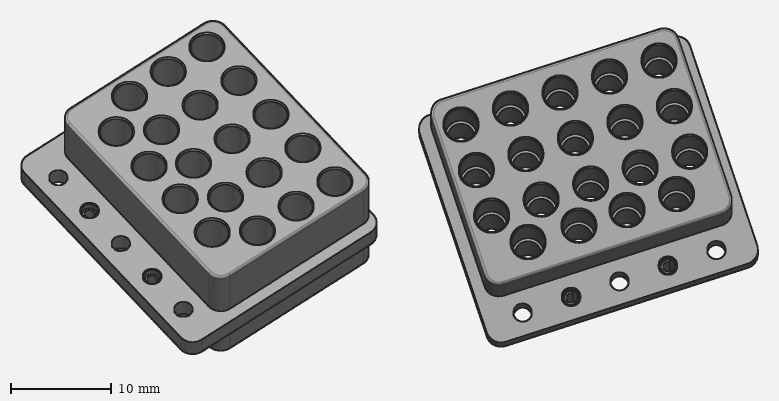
import cadquery as cq

PLATE_LENGTH = 28.45
PLATE_WIDTH = 24.38
PLATE_BOTTOM = 4.75
PLATE_THICKNESS = 2.1
PLATE_TOP = PLATE_BOTTOM + PLATE_THICKNESS

BLOCK_LENGTH = 25.95
BLOCK_WIDTH = 19.85
BLOCK_HEIGHT = 12.75
BLOCK_TOP_FILLET = 0.25

CORNER_RADIUS = 1.5

SOCKET_DIAMETER = 3.25
SOCKET_RIM_DIAMETER = 3.55
SOCKET_BORE_DIAMETER = 2.62
SOCKET_FLOOR = PLATE_TOP
COLUMN_PITCH = 5.2
ROW_PITCH = 4.9
FIRST_ROW_Y = -3.1
FULL_ROWS = 3
FULL_COLUMNS = 5
LAST_ROW_Y = -16.6
LAST_ROW_COLUMNS = 4
SHIFTED_COLUMN = 1
COLUMN_SHIFT = 0.15

HOLE_LINE_Y = -22.08
HOLE_PITCH = 5.1
PLAIN_HOLE_DIAMETER = 1.85
PLAIN_HOLE_XS = [-2 * HOLE_PITCH, 0, 2 * HOLE_PITCH]
PIN_XS = [-HOLE_PITCH, HOLE_PITCH]

PIN_DIAMETER = 1.7
PIN_BORE_DIAMETER = 0.97
PIN_SLOT_WIDTH = 0.65
PIN_BOTTOM = 1.5
PIN_TOP_RECESS = 0.57
PIN_LENGTH = PLATE_TOP - PIN_TOP_RECESS - PIN_BOTTOM
PIN_TAPER_HEIGHT = 0.45
PIN_TAPER_INSET = 0.15
PIN_HOLE_RIM_DIAMETER = 1.9


def rounded_slab(length, width, bottom, height):
    """Slab with rounded upright corners, reaching forward from the back face."""
    return (
        cq.Workplane("XY", origin=(0, -width / 2, bottom))
        .rect(length, width)
        .extrude(height)
        .edges("|Z")
        .fillet(CORNER_RADIUS)
    )


def centred_positions(count, pitch):
    """Evenly spaced positions, centred on zero."""
    return [(i - (count - 1) / 2) * pitch for i in range(count)]


def socket_centres():
    """Three full rows and a shorter front row with one socket off its even spacing."""
    centres = [
        (x, FIRST_ROW_Y - row * ROW_PITCH)
        for row in range(FULL_ROWS)
        for x in centred_positions(FULL_COLUMNS, COLUMN_PITCH)
    ]
    last_row = centred_positions(LAST_ROW_COLUMNS, COLUMN_PITCH)
    last_row[SHIFTED_COLUMN] += COLUMN_SHIFT
    return centres + [(x, LAST_ROW_Y) for x in last_row]


def round_cutter(centres, diameter, bottom, top):
    """Upright cylinders at the given centres."""
    return (
        cq.Workplane("XY", origin=(0, 0, bottom))
        .pushPoints(centres)
        .circle(diameter / 2)
        .extrude(top - bottom)
    )


def rim_cutter(centres, diameter, rim_diameter, top):
    """45 degree cones that chamfer the mouths of holes opening at the given height."""
    depth = (rim_diameter - diameter) / 2
    cone = cq.Solid.makeCone(diameter / 2, rim_diameter / 2, depth)
    return cq.Workplane("XY").pushPoints(centres).eachpoint(
        lambda place: cone.moved(place).translate(cq.Vector(0, 0, top - depth))
    )


def make_housing():
    """Socket block with a flange plate round it."""
    block = rounded_slab(BLOCK_LENGTH, BLOCK_WIDTH, 0, BLOCK_HEIGHT)
    block = block.faces(">Z").edges().fillet(BLOCK_TOP_FILLET)
    plate = rounded_slab(PLATE_LENGTH, PLATE_WIDTH, PLATE_BOTTOM, PLATE_THICKNESS)
    body = block.union(plate)

    sockets = socket_centres()
    body = body.cut(round_cutter(sockets, SOCKET_BORE_DIAMETER, 0, BLOCK_HEIGHT))
    body = body.cut(round_cutter(sockets, SOCKET_DIAMETER, SOCKET_FLOOR, BLOCK_HEIGHT))
    body = body.cut(rim_cutter(sockets, SOCKET_DIAMETER, SOCKET_RIM_DIAMETER, BLOCK_HEIGHT))

    plain_holes = [(x, HOLE_LINE_Y) for x in PLAIN_HOLE_XS]
    pin_holes = [(x, HOLE_LINE_Y) for x in PIN_XS]
    body = body.cut(round_cutter(plain_holes, PLAIN_HOLE_DIAMETER, PLATE_BOTTOM, PLATE_TOP))
    body = body.cut(round_cutter(pin_holes, PIN_DIAMETER, PLATE_BOTTOM, PLATE_TOP))
    return body.cut(rim_cutter(pin_holes, PIN_DIAMETER, PIN_HOLE_RIM_DIAMETER, PLATE_TOP))


def make_pin(x):
    """Hollow pin with tapered ends and a slot on its +X side that flares at both ends."""
    pin = (
        cq.Workplane("XY", origin=(x, HOLE_LINE_Y, PIN_BOTTOM))
        .circle(PIN_DIAMETER / 2)
        .extrude(PIN_LENGTH)
        .faces("<Z")
        .chamfer(PIN_TAPER_HEIGHT, PIN_TAPER_INSET)
        .faces(">Z")
        .chamfer(PIN_TAPER_HEIGHT, PIN_TAPER_INSET)
    )
    bore = round_cutter([(x, HOLE_LINE_Y)], PIN_BORE_DIAMETER, PIN_BOTTOM, PIN_BOTTOM + PIN_LENGTH)
    half_slot = PIN_SLOT_WIDTH / 2
    half_mouth = half_slot + PIN_TAPER_INSET
    slot = (
        cq.Workplane("YZ", origin=(x, HOLE_LINE_Y, PIN_BOTTOM))
        .moveTo(0, 0)
        .lineTo(half_mouth, 0)
        .lineTo(half_slot, PIN_TAPER_HEIGHT)
        .lineTo(half_slot, PIN_LENGTH - PIN_TAPER_HEIGHT)
        .lineTo(half_mouth, PIN_LENGTH)
        .lineTo(0, PIN_LENGTH)
        .mirrorY()
        .extrude(PIN_DIAMETER)
    )
    return pin.cut(bore).cut(slot)


housing = make_housing()
pins = [make_pin(x) for x in PIN_XS]

result = cq.Compound.makeCompound([housing.val(), *[pin.val() for pin in pins]])